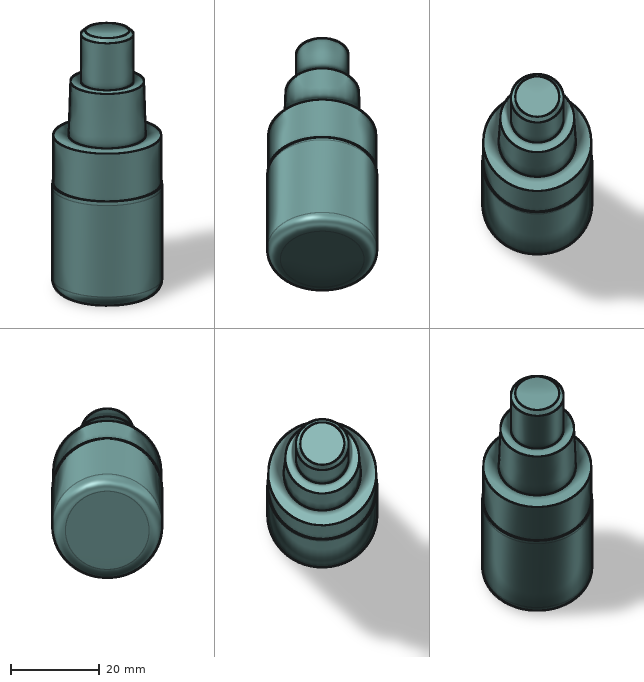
import cadquery as cq

total_height = 62.75
grip_diameter = 25.0

grip_height = 26.05
grip_base_radius = 3.0
grip_rim_chamfer_height = 0.95
grip_rim_chamfer_width = 0.05

collar_diameter = 24.5
collar_top = 37.5
neck_bottom_diameter = 17.5
neck_top_diameter = 16.7
neck_top = 50.5
pin_diameter = 12.0
pin_chamfer_height = 0.9
pin_chamfer_width = 1.0


def make_grip():
    """Solid cylinder, rounded at the base and slightly chamfered at the rim."""
    grip = cq.Workplane("XY").circle(grip_diameter / 2).extrude(grip_height)
    grip = grip.faces("<Z").edges().fillet(grip_base_radius)
    return grip.faces(">Z").edges().chamfer(grip_rim_chamfer_height, grip_rim_chamfer_width)


def make_plunger():
    """Stepped turned body: collar, tapered neck and chamfered pin."""
    half_profile = [
        (0, grip_height),
        (collar_diameter / 2, grip_height),
        (collar_diameter / 2, collar_top),
        (neck_bottom_diameter / 2, collar_top),
        (neck_top_diameter / 2, neck_top),
        (pin_diameter / 2, neck_top),
        (pin_diameter / 2, total_height - pin_chamfer_height),
        (pin_diameter / 2 - pin_chamfer_width, total_height),
        (0, total_height),
    ]
    return cq.Workplane("XZ").polyline(half_profile).close().revolve(360, (0, 0), (0, 1))


grip = make_grip()
plunger = make_plunger()

result = cq.Compound.makeCompound([grip.val(), plunger.val()])